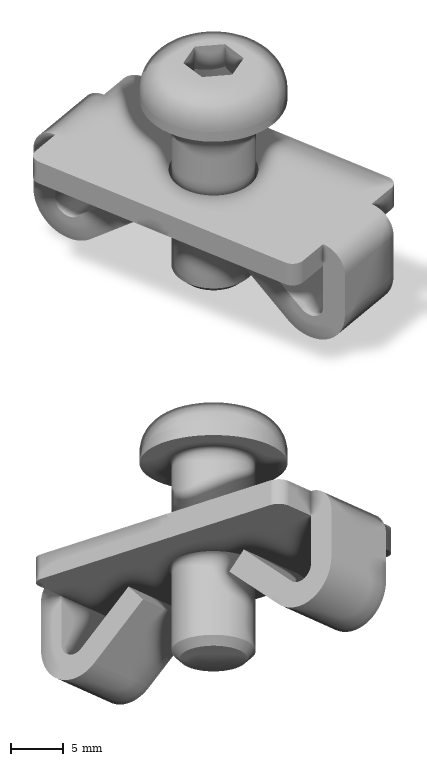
import cadquery as cq
import math

overall_length = 36
sheet = 2.52
plate_width = 17.0
plate_corner_radius = 1.22
plate_length = overall_length - 2 * sheet
leg_width = 8.0
bend_inner_radius = 1.5
bend_outer_radius = bend_inner_radius + sheet
bend_center_x = plate_length / 2 - bend_inner_radius
bend_center_z = -4.82
arm_angle = 39
arm_length = 7.55
arm_end_angle = 45
clearance_hole_diameter = 8.5

shank_diameter = 8.0
shank_length = 19.98
shank_bottom_z = -9.25
tip_chamfer = 0.8
neck_fillet = 0.25
head_diameter = 14.0
head_height = 4.43
head_round = 3.3
socket_across_flats = 5.0
socket_turn = 43
socket_depth = 2.6
socket_cone_angle = 30


def bend_point(radius, angle):
    """Point on the lower bend of the +X leg, at an angle in degrees."""
    turn = math.radians(angle)
    return (bend_center_x + radius * math.cos(turn), bend_center_z + radius * math.sin(turn))


def along_arm(start, length):
    """Point at a length along the arm from start, toward the screw and upward."""
    rise = math.radians(arm_angle)
    return (start[0] - length * math.cos(rise), start[1] + length * math.sin(rise))


def make_leg():
    """Leg at the +X end: shoulder bend, vertical wall, lower bend and returning arm."""
    bend_end_angle = -90 - arm_angle
    bend_middle_angle = bend_end_angle / 2
    plate_end = plate_length / 2
    outer_end = bend_point(bend_outer_radius, bend_end_angle)
    inner_end = bend_point(bend_inner_radius, bend_end_angle)
    end_skew = sheet * math.tan(math.radians(90 - arm_angle - arm_end_angle))
    shoulder_middle = (
        plate_end + sheet * math.cos(math.radians(45)),
        sheet * math.sin(math.radians(45)),
    )
    return (
        cq.Workplane("XZ")
        .moveTo(plate_end, 0)
        .lineTo(plate_end, sheet)
        .threePointArc(shoulder_middle, (overall_length / 2, 0))
        .lineTo(*bend_point(bend_outer_radius, 0))
        .threePointArc(bend_point(bend_outer_radius, bend_middle_angle), outer_end)
        .lineTo(*along_arm(outer_end, arm_length + end_skew))
        .lineTo(*along_arm(inner_end, arm_length))
        .lineTo(*inner_end)
        .threePointArc(
            bend_point(bend_inner_radius, bend_middle_angle), bend_point(bend_inner_radius, 0)
        )
        .close()
        .extrude(leg_width / 2, both=True)
    )


def make_clip():
    """Plate with rounded corners, a leg at each end and the screw clearance hole."""
    plate = (
        cq.Workplane("XY")
        .rect(plate_length, plate_width)
        .extrude(sheet)
        .edges("|Z")
        .fillet(plate_corner_radius)
    )
    leg = make_leg()
    hole = cq.Workplane("XY").circle(clearance_hole_diameter / 2).extrude(sheet)
    return plate.union(leg).union(leg.mirror("YZ")).cut(hole)


def make_socket(top_z):
    """Hexagon socket with a shallow conical floor, opening at top_z."""
    corner_radius = socket_across_flats / math.sqrt(3)
    cone_depth = corner_radius * math.tan(math.radians(socket_cone_angle))
    hexagon = (
        cq.Workplane("XY")
        .workplane(offset=top_z)
        .polygon(6, 2 * corner_radius)
        .extrude(-socket_depth - cone_depth)
        .rotate((0, 0, 0), (0, 0, 1), socket_turn)
    )
    floor_z = top_z - socket_depth
    drilled = (
        cq.Workplane("XZ")
        .moveTo(0, top_z)
        .lineTo(corner_radius, top_z)
        .lineTo(corner_radius, floor_z)
        .lineTo(0, floor_z - cone_depth)
        .close()
        .revolve(360, (0, 0, 0), (0, 1, 0))
    )
    return hexagon.intersect(drilled)


def make_screw():
    """Button head screw with a chamfered tip, a filleted neck and a hexagon socket."""
    shank_radius = shank_diameter / 2
    head_radius = head_diameter / 2
    head_bottom_z = shank_bottom_z + shank_length
    head_top_z = head_bottom_z + head_height
    body = (
        cq.Workplane("XZ")
        .moveTo(0, shank_bottom_z)
        .lineTo(shank_radius - tip_chamfer, shank_bottom_z)
        .lineTo(shank_radius, shank_bottom_z + tip_chamfer)
        .lineTo(shank_radius, head_bottom_z - neck_fillet)
        .radiusArc((shank_radius + neck_fillet, head_bottom_z), neck_fillet)
        .lineTo(head_radius, head_bottom_z)
        .lineTo(head_radius, head_top_z - head_round)
        .radiusArc((head_radius - head_round, head_top_z), -head_round)
        .lineTo(0, head_top_z)
        .close()
        .revolve(360, (0, 0, 0), (0, 1, 0))
    )
    return body.cut(make_socket(head_top_z))


clip = make_clip()
screw = make_screw()

result = cq.Compound.makeCompound([clip.val(), screw.val()])